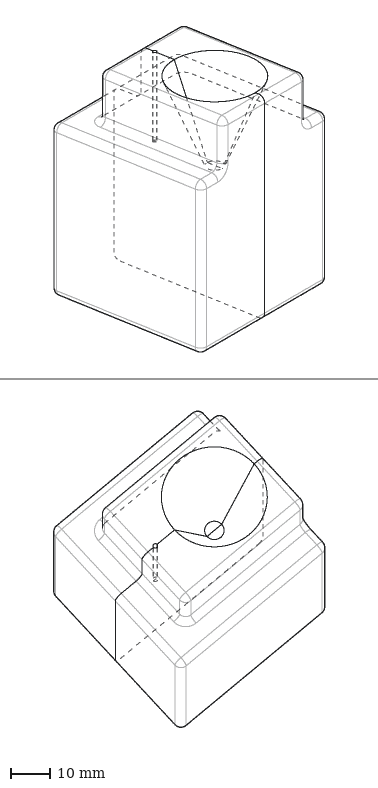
import cadquery as cq

BLOCK_SIDE = 50.0
TOTAL_HEIGHT = 65.0
NECK_WIDTH = 33.0
NECK_SETBACK = 9.05
EDGE_RADIUS = 2.0

FUNNEL_TOP_RADIUS = 13.45
FUNNEL_FLOOR_RADIUS = 2.5
FUNNEL_DEPTH = 26.0
FUNNEL_WALL = 3.05

VENT_RADIUS = 0.6
VENT_DEPTH = FUNNEL_DEPTH
VENT_SETBACK = 13.5

HALF_SIDE = BLOCK_SIDE / 2
NECK_LENGTH = BLOCK_SIDE - NECK_SETBACK
FUNNEL_X = HALF_SIDE - FUNNEL_WALL - FUNNEL_TOP_RADIUS
VENT_X = VENT_SETBACK - HALF_SIDE

ON_BASE = (True, True, False)


def outer_shape():
    """Cube with a neck on top, every edge rounded, including the foot of the neck."""
    cube = cq.Workplane("XY").box(BLOCK_SIDE, BLOCK_SIDE, BLOCK_SIDE, centered=ON_BASE)
    neck = (
        cq.Workplane("XY")
        .center(NECK_SETBACK / 2, 0)
        .box(NECK_LENGTH, NECK_WIDTH, TOTAL_HEIGHT, centered=ON_BASE)
    )
    return cube.union(neck).clean().edges().fillet(EDGE_RADIUS)


def funnel():
    """Cone frustum, wide at the top, ending in a flat floor."""
    floor_center = cq.Vector(FUNNEL_X, 0, TOTAL_HEIGHT - FUNNEL_DEPTH)
    cone = cq.Solid.makeCone(FUNNEL_FLOOR_RADIUS, FUNNEL_TOP_RADIUS, FUNNEL_DEPTH, pnt=floor_center)
    return cq.Workplane(cone)


def vent():
    """Narrow vertical hole from the top of the neck."""
    top_plane = cq.Workplane("XY", origin=(VENT_X, 0, TOTAL_HEIGHT))
    return top_plane.circle(VENT_RADIUS).extrude(-VENT_DEPTH)


def mold_half(mold, side):
    """Half of the mold on the +Y (side = 1) or -Y (side = -1) side of the parting plane."""
    half_space = (
        cq.Workplane("XY")
        .center(0, side * HALF_SIDE / 2)
        .box(BLOCK_SIDE, HALF_SIDE, TOTAL_HEIGHT, centered=ON_BASE)
    )
    return mold.intersect(half_space).solids()


whole_mold = outer_shape().cut(funnel()).cut(vent())
mold_halves = [mold_half(whole_mold, side) for side in (-1, 1)]

result = cq.Compound.makeCompound([half.val() for half in mold_halves])